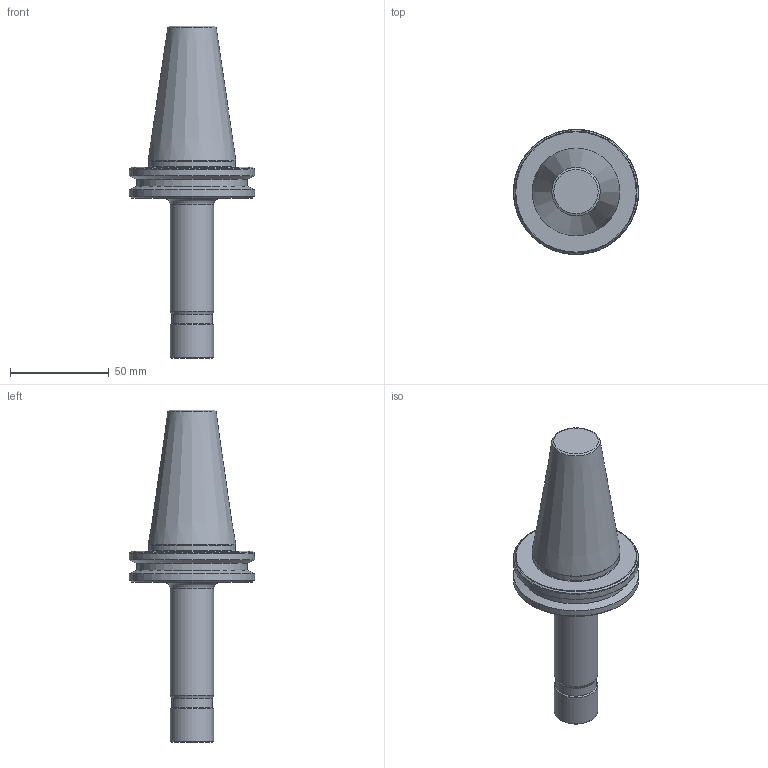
import cadquery as cq
import math

overall_length = 168.4

gauge_radius = 44.45 / 2
taper_length = 68.25
collar_radius = 22.0
collar_bevel = 0.3
taper_ratio = 7 / 24
taper_tip_radius = gauge_radius - taper_length * taper_ratio / 2
tip_bevel_width = 1.0
tip_bevel_height = 0.55

flange_radius = 63.5 / 2
flange_top = -3.3
flange_bottom = -19.05
flange_chamfer = 1.0
flange_rim_round = 0.5
groove_center = -11.25
groove_floor_radius = 28.1
groove_floor_width = 3.65
groove_wall_angle = 25

shank_radius = 11.0
shank_fillet = 3.4
shank_bottom = taper_length - overall_length
nose_length = 17.3
nose_chamfer = 0.5
neck_radius = 10.4
neck_length = 6.3
neck_bevel_height = 1.5


def revolve_profile(profile):
    """Spin a closed (radius, height) outline around the Z axis."""
    return profile.close().revolve(360, (0, 0, 0), (0, 1, 0))


def make_taper():
    profile = (
        cq.Workplane("XZ")
        .moveTo(0, flange_top)
        .lineTo(gauge_radius, flange_top)
        .lineTo(collar_radius, flange_top + collar_bevel)
        .lineTo(collar_radius, -collar_bevel)
        .lineTo(gauge_radius, 0)
        .lineTo(taper_tip_radius, taper_length - tip_bevel_height)
        .lineTo(taper_tip_radius - tip_bevel_width, taper_length)
        .lineTo(0, taper_length)
    )
    return revolve_profile(profile)


def make_flange():
    height = flange_top - flange_bottom
    disc = (
        cq.Workplane("XY")
        .workplane(offset=flange_bottom)
        .circle(flange_radius)
        .extrude(height)
        .edges()
        .chamfer(flange_chamfer)
        .faces(">>Z[-2]")
        .edges("%CIRCLE")
        .fillet(flange_rim_round)
    )
    half_floor = groove_floor_width / 2
    wall_rise = (flange_radius - groove_floor_radius) * math.tan(math.radians(groove_wall_angle))
    half_mouth = half_floor + wall_rise
    groove = (
        cq.Workplane("XZ")
        .moveTo(groove_floor_radius, groove_center - half_floor)
        .lineTo(flange_radius, groove_center - half_mouth)
        .lineTo(flange_radius, groove_center + half_mouth)
        .lineTo(groove_floor_radius, groove_center + half_floor)
    )
    return disc.cut(revolve_profile(groove))


def make_shank():
    nose_top = shank_bottom + nose_length
    neck_top = nose_top + neck_length
    fillet_bottom = flange_bottom - shank_fillet
    fillet_inset = shank_fillet * (1 - math.sqrt(0.5))
    profile = (
        cq.Workplane("XZ")
        .moveTo(0, shank_bottom)
        .lineTo(shank_radius - nose_chamfer, shank_bottom)
        .lineTo(shank_radius, shank_bottom + nose_chamfer)
        .lineTo(shank_radius, nose_top - nose_chamfer)
        .lineTo(neck_radius, nose_top)
        .lineTo(neck_radius, neck_top - neck_bevel_height)
        .lineTo(shank_radius, neck_top)
        .lineTo(shank_radius, fillet_bottom)
        .threePointArc(
            (shank_radius + fillet_inset, flange_bottom - fillet_inset),
            (shank_radius + shank_fillet, flange_bottom),
        )
        .lineTo(0, flange_bottom)
    )
    return revolve_profile(profile)


result = make_flange().union(make_taper()).union(make_shank())